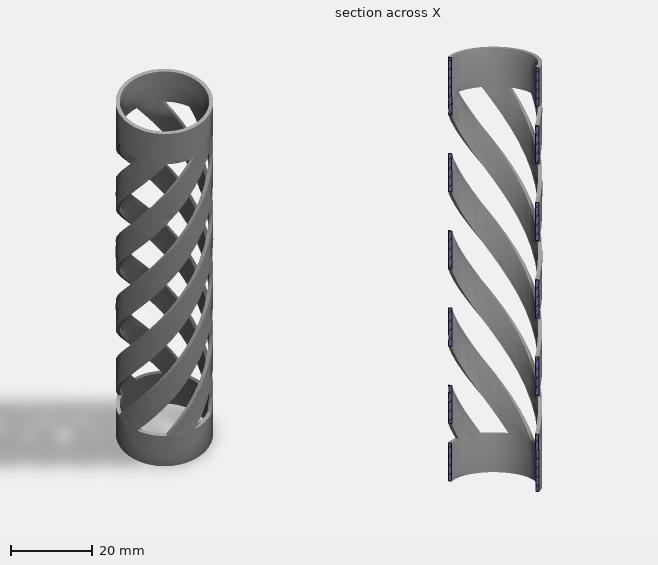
import cadquery as cq
import math

LENGTH = 110.0
OUTER_DIAMETER = 24.0
INNER_DIAMETER = 22.0
COLLAR_HEIGHT = 10.0
STRIP_COUNT = 5
HELIX_LEAD = 100.0
FIRST_STRIP_ANGLE = -90.0

OUTER_RADIUS = OUTER_DIAMETER / 2
INNER_RADIUS = INNER_DIAMETER / 2
CAGE_HEIGHT = LENGTH - 2 * COLLAR_HEIGHT
CAGE_TWIST = 360.0 * CAGE_HEIGHT / HELIX_LEAD
STRIP_PITCH_ANGLE = 360.0 / STRIP_COUNT
STRIP_ANGLE = STRIP_PITCH_ANGLE / 2


def polar_point(radius, angle):
    """Point in the XY plane at a radius and an angle in degrees."""
    return (radius * math.cos(math.radians(angle)), radius * math.sin(math.radians(angle)))


def make_collar(bottom):
    """Plain ring whose lower face is at the given height."""
    return (
        cq.Workplane("XY", origin=(0, 0, bottom))
        .circle(OUTER_RADIUS)
        .circle(INNER_RADIUS)
        .extrude(COLLAR_HEIGHT)
    )


def make_strip(middle_angle):
    """Helical strip: a ring sector twisted as it rises between the collars."""
    start = middle_angle - STRIP_ANGLE / 2
    end = middle_angle + STRIP_ANGLE / 2
    return (
        cq.Workplane("XY", origin=(0, 0, COLLAR_HEIGHT))
        .moveTo(*polar_point(INNER_RADIUS, start))
        .lineTo(*polar_point(OUTER_RADIUS, start))
        .threePointArc(polar_point(OUTER_RADIUS, middle_angle), polar_point(OUTER_RADIUS, end))
        .lineTo(*polar_point(INNER_RADIUS, end))
        .threePointArc(polar_point(INNER_RADIUS, middle_angle), polar_point(INNER_RADIUS, start))
        .close()
        .twistExtrude(CAGE_HEIGHT, CAGE_TWIST)
    )


result = make_collar(0).union(make_collar(LENGTH - COLLAR_HEIGHT))
for index in range(STRIP_COUNT):
    result = result.union(make_strip(FIRST_STRIP_ANGLE + index * STRIP_PITCH_ANGLE))